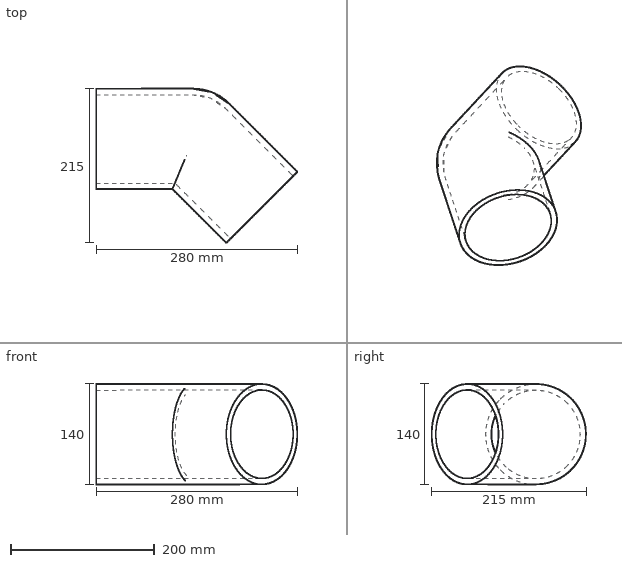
import cadquery as cq
import math

overall_length = 280.0
outer_diameter = 140.0
wall = 8.5
bend_angle = 45.0

outer_radius = outer_diameter / 2
inner_radius = outer_radius - wall
bend = math.radians(bend_angle)

leg_length = (overall_length - outer_radius * math.sin(bend)) / (1 + math.cos(bend))

straight_direction = cq.Vector(-1, 0, 0)
slanted_direction = cq.Vector(math.cos(bend), -math.sin(bend), 0)


def elbow_body(radius):
    """Two round legs meeting at the bend centre, joined by a ball of the same radius."""
    body = cq.Workplane("XY").sphere(radius)
    for direction in (straight_direction, slanted_direction):
        leg = cq.Solid.makeCylinder(radius, leg_length, cq.Vector(0, 0, 0), direction)
        body = body.union(cq.Workplane(obj=leg))
    return body


result = elbow_body(outer_radius).cut(elbow_body(inner_radius))